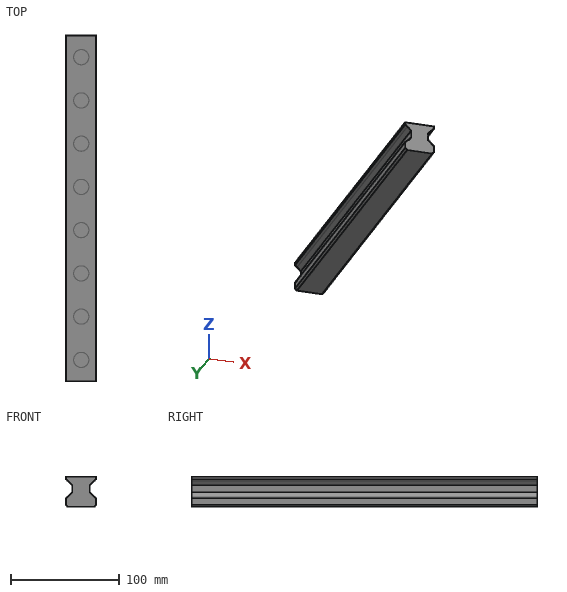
import cadquery as cq

length = 320.0
width = 28.0
height = 28.0

half_width = width / 2
base_chamfer = 2.0
base_side_top = 8.0
head_side_height = 2.4

lip_depth = 2.0
lip_rise = 1.5
flank_run = 4.0

cap_count = 8
cap_pitch = length / cap_count
cap_diameter = 14.0
cap_thickness = 3.2


def rail_body():
    """Extrude the waisted rail profile along Y, centred on the origin, base at Z = 0."""
    shoulder_half_width = half_width - lip_depth
    waist_half_width = shoulder_half_width - flank_run
    head_side_bottom = height - head_side_height
    lower_shoulder = base_side_top + lip_rise
    upper_shoulder = head_side_bottom - lip_rise
    right_side = [
        (half_width - base_chamfer, 0),
        (half_width, base_chamfer),
        (half_width, base_side_top),
        (shoulder_half_width, lower_shoulder),
        (waist_half_width, lower_shoulder + flank_run),
        (waist_half_width, upper_shoulder - flank_run),
        (shoulder_half_width, upper_shoulder),
        (half_width, head_side_bottom),
        (half_width, height),
    ]
    left_side = [(-x, z) for x, z in reversed(right_side)]
    profile = cq.Workplane("XZ").polyline(right_side + left_side).close()
    return profile.extrude(length / 2, both=True)


def hole_caps():
    """Round caps spaced evenly along the rail, reaching down from the top face."""
    return (
        cq.Workplane("XY", origin=(0, 0, height))
        .rarray(3.2, cap_pitch, 1, cap_count)
        .circle(cap_diameter / 2)
        .extrude(-cap_thickness)
    )


caps = hole_caps()
result = rail_body().cut(caps).union(caps, clean=False).solids()